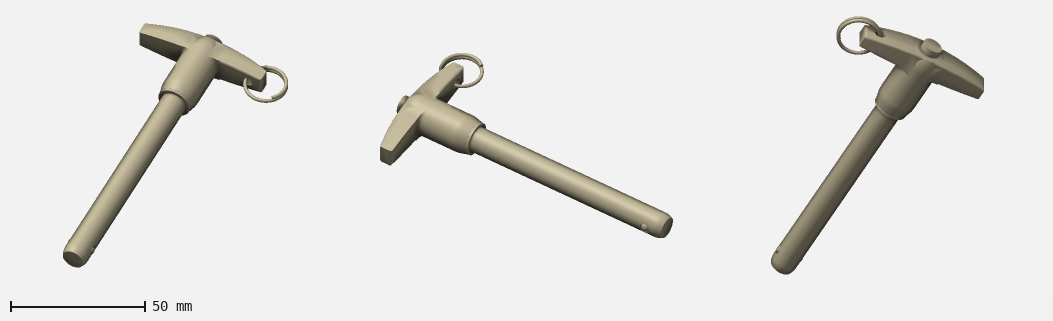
import cadquery as cq
import math


shank_radius = 5.0
shank_length = 84.03
nose_length = 3.0
nose_end_radius = 4.2
flange_radius = 6.5
flange_thickness = 1.0
ball_radius = 2.0
ball_protrusion = 0.4
ball_from_tip = 6.9

hub_radius = 7.5
hub_length = 29.0
hub_end_radius = 6.6
taper_length = 5.0
dome_length = 6.0
dome_top_radius = 5.9
hub_top_round = 0.9

wing_half_span = 25.5
wing_half_width = 5.9
wing_tip_half_width = 4.0
wing_depth = 8.5
wing_top_drop = 3.2
wing_edge_round = 1.0
wing_root_x = 8.2
root_sink = 0.02
wing_under_round = 1.0
ring_hole_radius = 2.0
ring_hole_x = 19.8

button_radius = 3.75
button_height = 3.0

wire_radius = 0.7
ring_outer_radius = 8.4
ring_reach = 34.85
ring_drop = 6.4
ring_pitch = 1.5
ring_hole_z = -0.2
ring_first_angle = 125.0
ring_last_angle = -45.0

hub_bottom = flange_thickness
hub_top = hub_bottom + hub_length
wing_underside = hub_top - wing_depth
tip_y = -shank_length


def tangent_arc_radius(length, drop):
    """Radius of an arc that starts parallel to the axis and falls by `drop` over `length`."""
    return (length**2 + drop**2) / (2 * drop)


def tangent_arc_middle(radius, start_y, end_y, end_radius):
    """A point (radius, y) half-way along that arc, which starts at (radius, start_y)."""
    length = abs(end_y - start_y)
    arc_radius = tangent_arc_radius(length, radius - end_radius)
    half_angle = math.asin(length / arc_radius) / 2
    direction = math.copysign(1, end_y - start_y)
    middle_radius = radius - arc_radius * (1 - math.cos(half_angle))
    return middle_radius, start_y + direction * arc_radius * math.sin(half_angle)


def make_shank():
    nose_start = tip_y + nose_length
    shank = (
        cq.Workplane("XY")
        .moveTo(0, tip_y)
        .lineTo(nose_end_radius, tip_y)
        .threePointArc(
            tangent_arc_middle(shank_radius, nose_start, tip_y, nose_end_radius),
            (shank_radius, nose_start),
        )
        .lineTo(shank_radius, 0)
        .lineTo(flange_radius, 0)
        .lineTo(flange_radius, flange_thickness)
        .lineTo(0, flange_thickness)
        .close()
        .revolve(360, (0, 0), (0, 1))
    )
    ball_x = shank_radius + ball_protrusion - ball_radius
    for side in (-1, 1):
        ball_place = (side * ball_x, tip_y + ball_from_tip, 0)
        ball = cq.Workplane("XY").sphere(ball_radius).translate(ball_place)
        socket = (
            cq.Workplane("YZ")
            .circle(ball_radius)
            .extrude(side * ball_radius)
            .translate(ball_place)
        )
        shank = shank.cut(socket).union(ball)
    return shank


def make_hub():
    taper_start = hub_bottom + taper_length
    dome_start = hub_top - dome_length
    return (
        cq.Workplane("XY")
        .moveTo(0, hub_bottom)
        .lineTo(hub_end_radius, hub_bottom)
        .threePointArc(
            tangent_arc_middle(hub_radius, taper_start, hub_bottom, hub_end_radius),
            (hub_radius, taper_start),
        )
        .lineTo(hub_radius, dome_start)
        .threePointArc(
            tangent_arc_middle(hub_radius, dome_start, hub_top, dome_top_radius),
            (dome_top_radius, hub_top),
        )
        .lineTo(0, hub_top)
        .close()
        .revolve(360, (0, 0), (0, 1))
        .faces(">Y")
        .edges()
        .fillet(hub_top_round)
    )


wing_plan_arc_radius = tangent_arc_radius(wing_half_span, wing_half_width - wing_tip_half_width)
wing_top_arc_radius = tangent_arc_radius(wing_half_span, wing_top_drop)


def arc_drop(arc_radius, x):
    """How far an arc that is level at x = 0 has fallen at x."""
    return arc_radius - math.sqrt(arc_radius**2 - x**2)


def wing_half_width_at(x):
    return wing_half_width - arc_drop(wing_plan_arc_radius, x)


def wing_top_at(x):
    return hub_top - arc_drop(wing_top_arc_radius, x)


def make_wing(side):
    """One wing from the pin axis outwards; side is +1 towards +X and -1 towards -X."""
    tip_x = side * wing_half_span
    tip_top = hub_top - wing_top_drop
    middle_x = tip_x / 2
    middle_top = wing_top_at(middle_x)
    middle_width = wing_half_width_at(middle_x)
    side_profile = (
        cq.Workplane("XY")
        .moveTo(0, wing_underside)
        .lineTo(tip_x, wing_underside)
        .lineTo(tip_x, tip_top)
        .threePointArc((middle_x, middle_top), (0, hub_top))
        .close()
        .extrude(hub_radius, both=True)
    )
    plan = (
        cq.Workplane("XZ", origin=(0, hub_top, 0))
        .moveTo(0, -wing_half_width)
        .threePointArc((middle_x, -middle_width), (tip_x, -wing_tip_half_width))
        .lineTo(tip_x, wing_tip_half_width)
        .threePointArc((middle_x, middle_width), (0, wing_half_width))
        .close()
        .extrude(wing_depth)
    )
    wing = side_profile.intersect(plan)
    return wing.newObject(rounded_wing_edges(wing, side)).fillet(wing_edge_round)


def rounded_wing_edges(wing, side):
    """The long edges and the tip's Z edges; the +Z underside edge of the -X wing stays sharp."""
    middle_y = hub_top - wing_depth / 2
    edges = []
    for edge in wing.edges().vals():
        center = edge.Center()
        box = edge.BoundingBox()
        upright = box.ylen > box.xlen and box.ylen > box.zlen
        on_axis = box.xlen < wing_edge_round and abs(center.x) < wing_root_x
        long_edge = box.xlen > box.zlen
        sharp = side < 0 and long_edge and center.z > 0 and center.y < middle_y
        if not (upright or on_axis or sharp):
            edges.append(edge)
    return edges


def root_plan(depth):
    """Prism over the middle of the crossbar, with concave arcs from the wing sides to the barrel.

    Each arc ends level at wing_root_x, sunk a little below the wing side.
    Returns the prism and its half width where the arcs meet the barrel.
    """
    width = wing_half_width_at(wing_root_x) - root_sink
    root_round = (wing_root_x**2 + width**2 - hub_radius**2) / (2 * (hub_radius - width))
    center_z = width + root_round
    hub_share = hub_radius / (hub_radius + root_round)
    hub_x = wing_root_x * hub_share
    hub_z = center_z * hub_share
    middle_angle = math.atan2(wing_root_x, center_z) / 2
    middle_x = wing_root_x - root_round * math.sin(middle_angle)
    middle_z = center_z - root_round * math.cos(middle_angle)
    half = (
        cq.Workplane("XZ", origin=(0, hub_top, 0))
        .moveTo(0, -hub_z)
        .lineTo(hub_x, -hub_z)
        .threePointArc((middle_x, -middle_z), (wing_root_x, -width))
        .lineTo(wing_root_x, width)
        .threePointArc((middle_x, middle_z), (hub_x, hub_z))
        .lineTo(0, hub_z)
        .close()
        .extrude(depth)
    )
    return half.union(half.mirror("YZ")), hub_z


def make_wing_roots():
    """Concave blends from the wing sides to the barrel, sloping inwards beside the dome."""
    plan, hub_z = root_plan(wing_depth)
    width = wing_half_width_at(wing_root_x)
    root_top = wing_top_at(wing_root_x) - wing_edge_round
    slope_start = hub_top - dome_length
    slopes = (
        cq.Workplane("YZ")
        .moveTo(wing_underside, -hub_z)
        .lineTo(slope_start, -hub_z)
        .lineTo(root_top, -width)
        .lineTo(root_top, width)
        .lineTo(slope_start, hub_z)
        .lineTo(wing_underside, hub_z)
        .close()
        .extrude(wing_root_x, both=True)
    )
    return plan.intersect(slopes)


def make_wing_underside_blend():
    """Concave ring between the underside of the wings and the barrel."""
    outer = hub_radius + wing_under_round
    lowest = wing_underside - wing_under_round
    middle_offset = wing_under_round * (1 - math.sqrt(0.5))
    ring = (
        cq.Workplane("XY")
        .moveTo(0, lowest)
        .lineTo(hub_radius, lowest)
        .threePointArc(
            (hub_radius + middle_offset, wing_underside - middle_offset),
            (outer, wing_underside),
        )
        .lineTo(0, wing_underside)
        .close()
        .revolve(360, (0, 0), (0, 1))
    )
    flat_width = 2 * (wing_half_width_at(outer) - wing_edge_round)
    under_wings = cq.Workplane("XY").box(2 * outer, 2 * wing_under_round, flat_width)
    under_wings = under_wings.translate((0, wing_underside, 0))
    under_roots, _ = root_plan(wing_depth + wing_under_round)
    return ring.intersect(under_roots.union(under_wings))


def make_handle():
    handle = make_hub().union(make_wing_roots()).union(make_wing_underside_blend())
    for side in (-1, 1):
        handle = handle.union(make_wing(side))
    ring_hole = (
        cq.Workplane("XZ", origin=(ring_hole_x, hub_top, 0))
        .circle(ring_hole_radius)
        .extrude(wing_depth)
    )
    return handle.cut(ring_hole)


def make_button():
    return cq.Workplane("XZ", origin=(0, hub_top, 0)).circle(button_radius).extrude(-button_height)


def make_split_ring():
    """Left-handed coil that starts beside the wing, runs through its hole and ends past one full turn."""
    coil_radius = ring_outer_radius - wire_radius
    turns = (360 + ring_first_angle - ring_last_angle) / 360
    turns_to_hole = (ring_first_angle + 180) / 360
    path = cq.Wire.makeHelix(ring_pitch, ring_pitch * turns, coil_radius, lefthand=True)
    coil = (
        cq.Workplane("XZ", origin=(coil_radius, 0, 0))
        .circle(wire_radius)
        .sweep(cq.Workplane(obj=path), isFrenet=True)
    )
    center = (ring_reach - ring_outer_radius, hub_top - ring_drop, ring_hole_z - ring_pitch * turns_to_hole)
    return coil.rotate((0, 0, 0), (0, 0, 1), ring_first_angle).translate(center)


handle = make_handle()
shank = make_shank()
button = make_button()
split_ring = make_split_ring()
result = cq.Compound.makeCompound([handle.val(), shank.val(), button.val(), split_ring.val()])